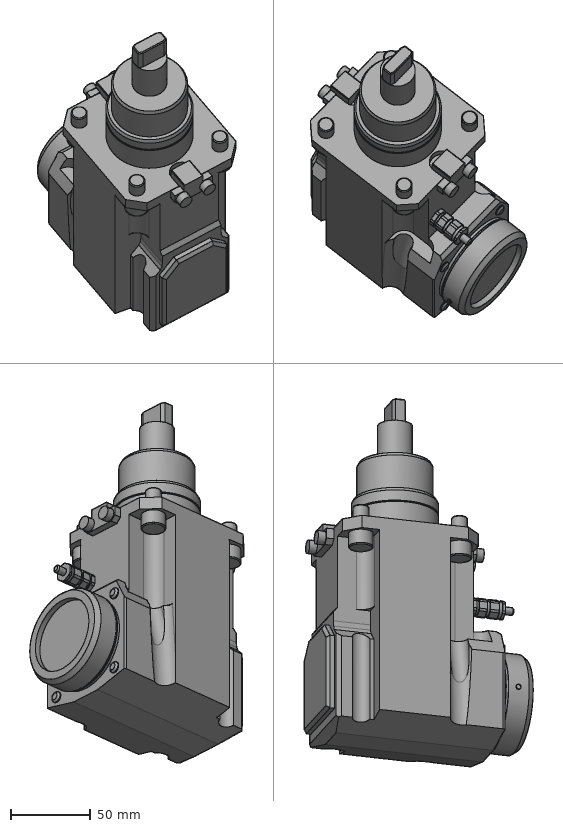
import cadquery as cq
import math

TOP_Z = 230.0
OVERALL_X = 137.0
OVERALL_Y = 84.0

SHAFT_R = 11.0
BLADE_BOTTOM_Z = 215.3
BLADE_HALF_X = 4.4
BLADE_TIP_HALF_X = 3.2
BLADE_FLAT_HALF_Y = 8.0
BLADE_HALF_Y = 10.8
BLADE_TOP_CHAMFER = 0.7
UPPER_COLLAR_R = 24.2
UPPER_COLLAR_TOP_Z = 189.0
LOWER_COLLAR_R = 27.5
LOWER_COLLAR_TOP_Z = 164.2
COLLAR_CHAMFER_R = 1.2
COLLAR_CHAMFER_H = 2.0
RING_GROOVE_Z = 154.5
RING_GROOVE_WIDTH = 0.7
RING_GROOVE_DEPTH = 0.5

BODY_HALF_X = 45.0
BODY_HALF_Y = OVERALL_Y / 2
FLANGE_TOP_Z = 136.5
FLANGE_THICKNESS = 8.3
FLANGE_BOTTOM_Z = FLANGE_TOP_Z - FLANGE_THICKNESS
FLANGE_CHAMFER = 10.0
CORE_HALF_X = 23.5
NOTCH_R = 9.2

SCREW_X = CORE_HALF_X + NOTCH_R
SCREW_Y = 31.5
SCREW_R = 5.0
SCREW_TOP_Z = 146.0
SCREW_HEAD_R = 7.8
SCREW_HEAD_H = 9.7
SCREW_CHAMFER = 0.7
WEB_HALF_Y = SCREW_Y - NOTCH_R

KEEL_HALF_Y = 11.0
KEEL_EDGE_Z = 7.0
KEEL_SLOPE = KEEL_EDGE_Z / (BODY_HALF_Y - KEEL_HALF_Y)

HOUSING_X = -61.6
HOUSING_HALF_Y = 35.9
HOUSING_TOP_Z = 74.0
HOUSING_ROOF_HALF_Y = 27.0
HOUSING_EAVE_Z = 56.8
HOUSING_TOP_CHAMFER_X = 3.0
HOUSING_TOP_CHAMFER_Z = 2.0
HOUSING_SIDE_CHAMFER_X = 1.4
HOUSING_SIDE_CHAMFER_Y = 0.5
LEFT_NOTCH_FLOOR_Z = 65.0

GROOVE_R = 8.5
GROOVE_TOP_Y = 39.3
GROOVE_LEAN = 4.0
POCKET_R = 6.2
POCKET_LEAN = 14.5

REAR_X = 47.8
REAR_HALF_Y = 30.1
REAR_EAVE_Z = 58.5
REAR_ROOF_HALF_Y = 24.0
REAR_ROOF_Z = 64.5
REAR_SHOULDER_HALF_Y = 22.8
REAR_SHOULDER_Z = 67.2
REAR_SHOULDER_TOP_Z = 70.8
REAR_TOP_Z = 80.3
REAR_EDGE_CHAMFER = 2.8
REAR_BOTTOM_CHAMFER = 5.3
REAR_BORE_X = 32.0
REAR_BORE_R = 6.0

COVER_X = 53.0
COVER_HALF_Y = 24.5
COVER_BOTTOM_Z = 11.0
COVER_EAVE_Z = 60.0
COVER_TOP_Z = 70.8
COVER_CHAMFER = 2.0

CAP_X = -82.0
CAP_Z = 36.3
CAP_R = 32.2
CAP_BACK_X = -65.0
CAP_CHAMFER_R = 2.3
CAP_CHAMFER_X = 3.5
CAP_RECESS_R = 24.5
CAP_RECESS_DEPTH = 4.0
CAP_NECK_R = 31.5
CAP_SEAT_X = -63.7
CAP_SEAT_R = 31.0
CAP_PIN_X = -71.5
CAP_PIN_R = 1.5
CAP_PIN_RISE = 0.7

CAP_SCREW_OFFSET = 26.7
CAP_SCREW_R = 3.7
CAP_SCREW_H = 2.0
CAP_SCREW_CHAMFER = 1.4

KEY_X = 50.0
KEY_INNER_X = 35.0
KEY_HALF_Y = 7.1
KEY_TOP_Z = 141.5
KEY_TOP_CHAMFER = 0.5
KEY_PLATE_HALF_Y = 14.3
KEY_PLATE_TOP_Z = 136.0
KEY_PLATE_BOTTOM_Z = 126.0
KEY_PLATE_CHAMFER = 3.2
KEY_SLOT_HALF_Y = 7.8
KEY_SLOT_END_X = 29.0
KEY_SLOT_DEPTH = 5.0
KEY_SCREW_Y = 9.0
KEY_SCREW_Z = 131.0
KEY_SCREW_R = 4.4
KEY_SCREW_END_X = CAP_X + OVERALL_X

FITTING_Y = 15.0
FITTING_Z = 93.4
FITTING_FLATS = 11.5
FITTING_ROUND_R = 6.2
FITTING_NECK_R = 4.8
FITTING_GROOVE_R = 5.5
FITTING_TIP_R = 2.5
FITTING_TIP_CHAMFER = 1.0
FITTING_TIP_X = -73.5
FITTING_DISC_X = -66.7
FITTING_DISC_GROOVE_X = -64.9
FITTING_HEX_X = -62.8
FITTING_NECK_X = -56.8
FITTING_NUT_X = -54.7
FITTING_NUT_END_X = -49.5
FITTING_BASE_X = -47.8


def box_between(x0, x1, y0, y1, z0, z1):
    """Axis-aligned box given by its limits."""
    return cq.Workplane("XY").box(x1 - x0, y1 - y0, z1 - z0, centered=False).translate((x0, y0, z0))


def rod_z(x, y, z0, z1, radius):
    """Upright cylinder."""
    return cq.Workplane("XY", origin=(x, y, z0)).circle(radius).extrude(z1 - z0)


def rod_x(x0, x1, y, z, radius):
    """Cylinder along X."""
    return cq.Workplane("YZ", origin=(x0, y, z)).circle(radius).extrude(x1 - x0)


def prism_x(x0, x1, half_outline):
    """Prism along X, symmetric about y = 0; the (y, z) points run up the +Y side."""
    mirrored = [(-y, z) for y, z in reversed(half_outline)]
    return cq.Workplane("YZ", origin=(x0, 0, 0)).polyline(half_outline + mirrored).close().extrude(x1 - x0)


def keel_z(y):
    """Height of the sloping underside at a distance y from the middle plane."""
    return KEEL_SLOPE * (y - KEEL_HALF_Y)


def make_spindle():
    profile = [
        (0, FLANGE_BOTTOM_Z),
        (LOWER_COLLAR_R, FLANGE_BOTTOM_Z),
        (LOWER_COLLAR_R, RING_GROOVE_Z),
        (LOWER_COLLAR_R - RING_GROOVE_DEPTH, RING_GROOVE_Z),
        (LOWER_COLLAR_R - RING_GROOVE_DEPTH, RING_GROOVE_Z + RING_GROOVE_WIDTH),
        (LOWER_COLLAR_R, RING_GROOVE_Z + RING_GROOVE_WIDTH),
        (LOWER_COLLAR_R, LOWER_COLLAR_TOP_Z - COLLAR_CHAMFER_H),
        (LOWER_COLLAR_R - COLLAR_CHAMFER_R, LOWER_COLLAR_TOP_Z),
        (UPPER_COLLAR_R, LOWER_COLLAR_TOP_Z),
        (UPPER_COLLAR_R, UPPER_COLLAR_TOP_Z - COLLAR_CHAMFER_H),
        (UPPER_COLLAR_R - COLLAR_CHAMFER_R, UPPER_COLLAR_TOP_Z),
        (SHAFT_R, UPPER_COLLAR_TOP_Z),
        (SHAFT_R, BLADE_BOTTOM_Z),
        (0, BLADE_BOTTOM_Z),
    ]
    turned = cq.Workplane("XZ").polyline(profile).close().revolve(360, (0, 0, 0), (0, 1, 0))
    blade_outline = [
        (BLADE_HALF_X, -BLADE_FLAT_HALF_Y),
        (BLADE_HALF_X, BLADE_FLAT_HALF_Y),
        (BLADE_TIP_HALF_X, BLADE_HALF_Y),
        (-BLADE_TIP_HALF_X, BLADE_HALF_Y),
        (-BLADE_HALF_X, BLADE_FLAT_HALF_Y),
        (-BLADE_HALF_X, -BLADE_FLAT_HALF_Y),
        (-BLADE_TIP_HALF_X, -BLADE_HALF_Y),
        (BLADE_TIP_HALF_X, -BLADE_HALF_Y),
    ]
    blade = cq.Workplane("XY", origin=(0, 0, BLADE_BOTTOM_Z)).polyline(blade_outline).close()
    blade = blade.extrude(TOP_Z - BLADE_BOTTOM_Z).faces(">Z").chamfer(BLADE_TOP_CHAMFER)
    return turned.union(blade)


def make_flange():
    flange = box_between(
        -BODY_HALF_X, BODY_HALF_X, -BODY_HALF_Y, BODY_HALF_Y, FLANGE_BOTTOM_Z, FLANGE_TOP_Z
    )
    return flange.edges("|Z").chamfer(FLANGE_CHAMFER)


def make_body():
    """Cross-shaped column: a core as wide as the flange, and webs reaching the -X and +X faces."""
    core = prism_x(
        -CORE_HALF_X,
        CORE_HALF_X,
        [(KEEL_HALF_Y, 0), (BODY_HALF_Y, KEEL_EDGE_Z), (BODY_HALF_Y, FLANGE_BOTTOM_Z)],
    )
    body = core.union(
        box_between(-BODY_HALF_X, BODY_HALF_X, -WEB_HALF_Y, WEB_HALF_Y, REAR_TOP_Z, FLANGE_BOTTOM_Z)
    )
    body = body.union(
        box_between(-BODY_HALF_X, 0, -WEB_HALF_Y, WEB_HALF_Y, LEFT_NOTCH_FLOOR_Z, REAR_TOP_Z)
    )
    for side_x in (-1, 1):
        floor_z = LEFT_NOTCH_FLOOR_Z if side_x < 0 else REAR_TOP_Z
        for side_y in (-1, 1):
            corner = (
                cq.Workplane("XY", origin=(0, 0, floor_z))
                .moveTo(side_x * CORE_HALF_X, side_y * WEB_HALF_Y)
                .lineTo(side_x * SCREW_X, side_y * WEB_HALF_Y)
                .radiusArc((side_x * CORE_HALF_X, side_y * SCREW_Y), side_x * side_y * NOTCH_R)
                .close()
                .extrude(FLANGE_BOTTOM_Z - floor_z)
            )
            body = body.union(corner)
    return body


def make_housing():
    housing = prism_x(
        HOUSING_X,
        0,
        [
            (KEEL_HALF_Y, 0),
            (HOUSING_HALF_Y, keel_z(HOUSING_HALF_Y)),
            (HOUSING_HALF_Y, HOUSING_EAVE_Z),
            (HOUSING_ROOF_HALF_Y, HOUSING_TOP_Z),
        ],
    )
    front_corners = housing.faces("<X").edges("|Z")
    housing = front_corners.chamfer(HOUSING_SIDE_CHAMFER_X, HOUSING_SIDE_CHAMFER_Y)
    top_edge = (
        cq.Workplane("XZ", origin=(0, BODY_HALF_Y, 0))
        .moveTo(HOUSING_X, HOUSING_TOP_Z)
        .lineTo(HOUSING_X + HOUSING_TOP_CHAMFER_X, HOUSING_TOP_Z)
        .lineTo(HOUSING_X, HOUSING_TOP_Z - HOUSING_TOP_CHAMFER_Z)
        .close()
        .extrude(2 * BODY_HALF_Y)
    )
    shoulder = prism_x(
        -CORE_HALF_X - GROOVE_R,
        0,
        [(KEEL_HALF_Y, 0), (BODY_HALF_Y, KEEL_EDGE_Z), (BODY_HALF_Y, LEFT_NOTCH_FLOOR_Z)],
    )
    housing = housing.cut(top_edge).union(shoulder)
    for side_y in (-1, 1):
        housing = housing.cut(make_notch_run_out(side_y))
        housing = housing.cut(make_leaning_cut(side_y, GROOVE_R, GROOVE_TOP_Y, GROOVE_LEAN))
        housing = housing.cut(make_leaning_cut(side_y, POCKET_R, SCREW_Y, POCKET_LEAN))
    return housing


def make_notch_run_out(side_y):
    """Lower end of a -X notch, where its cutter runs out into the housing roof."""
    y_limits = sorted((side_y * WEB_HALF_Y, side_y * BODY_HALF_Y))
    run = box_between(-BODY_HALF_X, 0, *y_limits, LEFT_NOTCH_FLOOR_Z, HOUSING_TOP_Z)
    round_end = rod_z(-BODY_HALF_X, side_y * SCREW_Y, LEFT_NOTCH_FLOOR_Z, HOUSING_TOP_Z, NOTCH_R)
    return run.union(round_end)


def make_leaning_cut(side_y, radius, center_y, lean):
    """Outward-open slot below a -X notch floor that leans outwards as it goes down."""
    x = -CORE_HALF_X - GROOVE_R
    length = LEFT_NOTCH_FLOOR_Z / math.cos(math.radians(lean)) + radius
    outer_y = sorted((0, side_y * BODY_HALF_Y))
    cutter = rod_z(x, 0, -length, radius, radius)
    cutter = cutter.union(box_between(x - radius, x + radius, *outer_y, -length, radius))
    cutter = cutter.rotate((x, 0, 0), (x + 2.3, 0, 0), side_y * lean)
    cutter = cutter.translate((0, side_y * center_y, LEFT_NOTCH_FLOOR_Z))
    return cutter


def make_rear_housing():
    rear = prism_x(
        0,
        REAR_X,
        [
            (KEEL_HALF_Y, 0),
            (REAR_HALF_Y, keel_z(REAR_HALF_Y)),
            (REAR_HALF_Y, REAR_EAVE_Z),
            (REAR_ROOF_HALF_Y, REAR_ROOF_Z),
            (REAR_SHOULDER_HALF_Y, REAR_SHOULDER_Z),
            (WEB_HALF_Y, REAR_SHOULDER_TOP_Z),
            (WEB_HALF_Y, REAR_TOP_Z),
        ],
    )
    rear = rear.faces(">X").edges(">Y or <Y or >Z").chamfer(REAR_EDGE_CHAMFER)
    bottom_edge = (
        cq.Workplane("XZ", origin=(0, BODY_HALF_Y, 0))
        .moveTo(REAR_X, 0)
        .lineTo(REAR_X - REAR_BOTTOM_CHAMFER, 0)
        .lineTo(REAR_X, REAR_BOTTOM_CHAMFER)
        .close()
        .extrude(2 * BODY_HALF_Y)
    )
    rear = rear.cut(bottom_edge)
    for side_y in (-1, 1):
        rear = rear.cut(rod_z(REAR_BORE_X, side_y * SCREW_Y, 0, REAR_TOP_Z, REAR_BORE_R))
    return rear


def make_cover():
    cover = prism_x(
        BODY_HALF_X,
        COVER_X,
        [
            (COVER_HALF_Y, COVER_BOTTOM_Z),
            (COVER_HALF_Y, COVER_EAVE_Z),
            (COVER_HALF_Y - (COVER_TOP_Z - COVER_EAVE_Z), COVER_TOP_Z),
        ],
    )
    return cover.faces(">X").chamfer(COVER_CHAMFER)


def make_cap():
    profile = [
        (CAP_X + CAP_RECESS_DEPTH, 0),
        (CAP_X + CAP_RECESS_DEPTH, CAP_RECESS_R),
        (CAP_X, CAP_RECESS_R),
        (CAP_X, CAP_R - CAP_CHAMFER_R),
        (CAP_X + CAP_CHAMFER_X, CAP_R),
        (CAP_BACK_X, CAP_R),
        (CAP_BACK_X, CAP_NECK_R),
        (CAP_SEAT_X, CAP_NECK_R),
        (CAP_SEAT_X, CAP_SEAT_R),
        (HOUSING_X, CAP_SEAT_R),
        (HOUSING_X, 0),
    ]
    cap = cq.Workplane("XY").polyline(profile).close().revolve(360, (0, 0, 0), (1, 0, 0))
    pin = cq.Workplane("XZ", origin=(CAP_PIN_X, 0, 0)).circle(CAP_PIN_R).extrude(-CAP_R - CAP_PIN_RISE)
    pin = pin.cut(rod_x(CAP_X, CAP_BACK_X, 0, 0, CAP_RECESS_R))
    return cap.union(pin).translate((0, 0, CAP_Z))


def make_cap_screws():
    screws = cq.Workplane("XY")
    for side_y in (-1, 1):
        for side_z in (-1, 1):
            y = side_y * CAP_SCREW_OFFSET
            z = CAP_Z + side_z * CAP_SCREW_OFFSET
            head_x = HOUSING_X - CAP_SCREW_H
            head = rod_x(head_x, HOUSING_X, y, z, CAP_SCREW_R).faces("<X").chamfer(CAP_SCREW_CHAMFER)
            screws = screws.union(head)
    return screws


def make_flange_screws():
    screws = cq.Workplane("XY")
    for x in (-SCREW_X, SCREW_X):
        for y in (-SCREW_Y, SCREW_Y):
            shank = rod_z(x, y, FLANGE_BOTTOM_Z, SCREW_TOP_Z, SCREW_R).faces(">Z").chamfer(SCREW_CHAMFER)
            head = rod_z(x, y, FLANGE_BOTTOM_Z - SCREW_HEAD_H, FLANGE_BOTTOM_Z, SCREW_HEAD_R)
            screws = screws.union(shank).union(head.faces("<Z").chamfer(SCREW_CHAMFER))
    return screws


def make_key_slot():
    """Round-ended slot in the flange top at the +X end."""
    center_x = KEY_SLOT_END_X + KEY_SLOT_HALF_Y
    floor_z = FLANGE_TOP_Z - KEY_SLOT_DEPTH
    straight = box_between(
        center_x, BODY_HALF_X, -KEY_SLOT_HALF_Y, KEY_SLOT_HALF_Y, floor_z, FLANGE_TOP_Z
    )
    return straight.union(rod_z(center_x, 0, floor_z, FLANGE_TOP_Z, KEY_SLOT_HALF_Y))


def make_key():
    """Key with its two screws at the +X end of the flange."""
    floor_z = FLANGE_TOP_Z - KEY_SLOT_DEPTH
    tongue = box_between(KEY_INNER_X, KEY_X, -KEY_HALF_Y, KEY_HALF_Y, floor_z, KEY_TOP_Z)
    tongue = tongue.edges("|X and >Z").chamfer(KEY_TOP_CHAMFER)
    plate = box_between(
        BODY_HALF_X, KEY_X, -KEY_PLATE_HALF_Y, KEY_PLATE_HALF_Y, KEY_PLATE_BOTTOM_Z, KEY_PLATE_TOP_Z
    )
    key = tongue.union(plate.edges("|X and <Z").chamfer(KEY_PLATE_CHAMFER))
    for y in (-KEY_SCREW_Y, KEY_SCREW_Y):
        key = key.union(rod_x(BODY_HALF_X, KEY_SCREW_END_X, y, KEY_SCREW_Z, KEY_SCREW_R))
    return key


def fitting_hex(x0, x1):
    """Hexagon along X with its sharp corners turned down."""
    corner_circle = FITTING_FLATS / math.cos(math.pi / 6)
    hexagon = cq.Workplane("YZ", origin=(x0, 0, 0)).polygon(6, corner_circle).extrude(x1 - x0)
    hexagon = hexagon.rotate((0, 0, 0), (1, 0, 0), 90)
    return hexagon.intersect(rod_x(x0, x1, 0, 0, FITTING_ROUND_R))


def make_fitting():
    fitting = rod_x(FITTING_TIP_X, FITTING_DISC_X, 0, 0, FITTING_TIP_R)
    fitting = fitting.faces("<X").chamfer(FITTING_TIP_CHAMFER)
    fitting = fitting.union(fitting_hex(FITTING_DISC_X, FITTING_DISC_GROOVE_X))
    fitting = fitting.union(rod_x(FITTING_DISC_GROOVE_X, FITTING_HEX_X, 0, 0, FITTING_GROOVE_R))
    fitting = fitting.union(fitting_hex(FITTING_HEX_X, FITTING_NECK_X))
    fitting = fitting.union(rod_x(FITTING_NECK_X, FITTING_NUT_X, 0, 0, FITTING_NECK_R))
    fitting = fitting.union(fitting_hex(FITTING_NUT_X, FITTING_NUT_END_X))
    fitting = fitting.union(rod_x(FITTING_NUT_END_X, FITTING_BASE_X, 0, 0, FITTING_NECK_R))
    fitting = fitting.union(fitting_hex(FITTING_BASE_X, -BODY_HALF_X))
    return fitting.translate((0, FITTING_Y, FITTING_Z))


key_slot = make_key_slot()
flange = make_flange().cut(key_slot).cut(key_slot.mirror("YZ"))

result = make_body().union(make_housing()).union(make_rear_housing()).union(flange)

key = make_key()
for fitted in (
    make_spindle(),
    make_cover(),
    make_cap(),
    make_cap_screws(),
    make_flange_screws(),
    key,
    key.mirror("YZ"),
    make_fitting(),
):
    result = result.union(fitted)